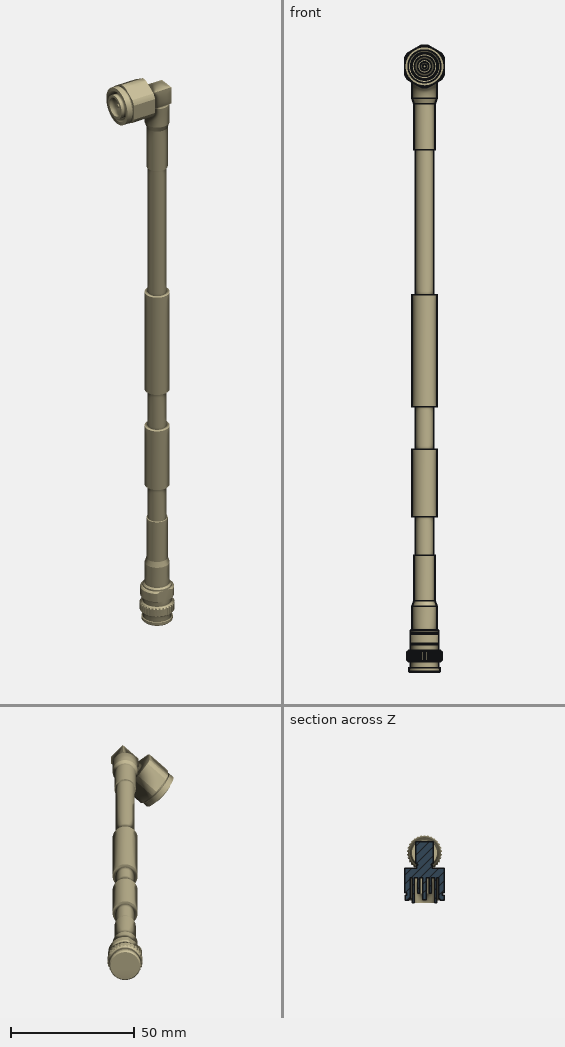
import cadquery as cq
import math

CABLE_RADIUS = 3.8
BOOT_RADIUS = 4.3
BOOT_LENGTH = 18.5
CABLE_BOTTOM = 29.0
CABLE_TOP = 230.7

SLEEVE_RADIUS = 5
SLEEVE_SPANS = [(63.1, 90.6), (107.7, 153.3)]

FERRULE_RADIUS = 5
FERRULE_TAPER = 2.3

END_RIM_RADIUS = 6.4
END_RIM_TOP = 1.8
END_RIM_CHAMFER = 0.5
NECK_RADIUS = 5.9
NECK_TOP = 17.3
NECK_CHAMFER = 0.5
KNURL_RADIUS = 7.1
KNURL_BOTTOM = 4.3
KNURL_TOP = 9.0
KNURL_CHAMFER = 0.8
KNURL_GROOVES = 30
KNURL_GROOVE_WIDTH = 0.8
FLANGE_RADIUS = 7.0
FLANGE_BOTTOM = 11.2
FLANGE_TOP = 16.0
FLANGE_CHAMFER = 0.5

TOTAL_HEIGHT = 254.5
BLOCK_BOTTOM = 241.5
BLOCK_TOP = 249.3
BLOCK_WIDTH = 7.1
BLOCK_BACK = 4.5
BLOCK_FRONT = -4.8
BLOCK_CHAMFER = 0.8
STEM_RADIUS = 3.3

NUT_FLATS = 16.0
NUT_CORNER_RADIUS = 8.7
NUT_AXIS_HEIGHT = TOTAL_HEIGHT - NUT_CORNER_RADIUS
NUT_BACK = -6.0
HEX_FRONT = -16.3
COLLAR_FRONT = -19.3
COLLAR_GROOVE_RADIUS = 7.5
COLLAR_GROOVE_WIDTH = 0.8
SOCKET_RADIUS = 5.5
SOCKET_CHAMFER = 1.0
SOCKET_BACK = -10.2
SHELL_FRONT = -20.4
SHELL_RADIUS = 5
SHELL_BORE_RADIUS = 4.0
INSULATOR_RADIUS = 2.8
INSULATOR_BORE_RADIUS = 1.8
INSULATOR_FRONT = -16.5
PIN_RADIUS = 0.8
PIN_FRONT = -19.0


def cylinder_between(radius, bottom, top):
    """Round bar on the Z axis."""
    return cq.Workplane("XY").workplane(offset=bottom).circle(radius).extrude(top - bottom)


def nut_plane(y):
    """Plane across the nut axis at the given Y, with its normal along -Y."""
    return cq.Workplane("XZ", origin=(0, y, NUT_AXIS_HEIGHT))


def nut_cylinder(radius, back, front):
    """Round bar on the nut axis, from back to front along -Y."""
    return nut_plane(back).circle(radius).extrude(back - front)


def make_cable():
    core = cylinder_between(CABLE_RADIUS, CABLE_BOTTOM, CABLE_TOP)
    lower_boot = cylinder_between(BOOT_RADIUS, CABLE_BOTTOM, CABLE_BOTTOM + BOOT_LENGTH)
    upper_boot = cylinder_between(BOOT_RADIUS, CABLE_TOP - BOOT_LENGTH, CABLE_TOP)
    return core.union(lower_boot).union(upper_boot)


def make_sleeve(bottom, top):
    bore = cylinder_between(CABLE_RADIUS, bottom, top)
    return cylinder_between(SLEEVE_RADIUS, bottom, top).cut(bore)


def make_knurl():
    ring = cylinder_between(KNURL_RADIUS, KNURL_BOTTOM, KNURL_TOP).edges().chamfer(KNURL_CHAMFER)
    grooves = (
        cq.Workplane("XY").workplane(offset=KNURL_BOTTOM)
        .polarArray(KNURL_RADIUS, 0, 360, KNURL_GROOVES)
        .rect(KNURL_GROOVE_WIDTH, KNURL_GROOVE_WIDTH)
        .extrude(KNURL_TOP - KNURL_BOTTOM)
    )
    return ring.cut(grooves)


def make_flange():
    """Round flange with two wrench flats on the X sides, level with the neck."""
    disc = cylinder_between(FLANGE_RADIUS, FLANGE_BOTTOM, FLANGE_TOP).edges().chamfer(FLANGE_CHAMFER)
    between_flats = (
        cq.Workplane("XY").workplane(offset=FLANGE_BOTTOM)
        .rect(2 * NECK_RADIUS, 2 * FLANGE_RADIUS)
        .extrude(FLANGE_TOP - FLANGE_BOTTOM)
    )
    return disc.intersect(between_flats)


def make_straight_connector():
    end_rim = cylinder_between(END_RIM_RADIUS, 0, END_RIM_TOP).faces("<Z").edges().chamfer(END_RIM_CHAMFER)
    neck = cylinder_between(NECK_RADIUS, 0, NECK_TOP).edges().chamfer(NECK_CHAMFER)
    ferrule = (
        cylinder_between(FERRULE_RADIUS, 0, CABLE_BOTTOM)
        .faces(">Z").edges().chamfer(FERRULE_TAPER, FERRULE_RADIUS - BOOT_RADIUS)
    )
    return ferrule.union(neck).union(end_rim).union(make_knurl()).union(make_flange())


def make_nut():
    corner_diameter = NUT_FLATS / math.cos(math.radians(30))
    hexagon = (
        nut_plane(NUT_BACK).transformed(rotate=(0, 0, 30))
        .polygon(6, corner_diameter).extrude(NUT_BACK - HEX_FRONT)
        .intersect(nut_cylinder(NUT_CORNER_RADIUS, NUT_BACK, HEX_FRONT))
    )
    groove_front = HEX_FRONT - COLLAR_GROOVE_WIDTH
    groove = nut_cylinder(COLLAR_GROOVE_RADIUS, HEX_FRONT, groove_front)
    collar = nut_cylinder(NUT_FLATS / 2, groove_front, COLLAR_FRONT)
    socket = nut_cylinder(SOCKET_RADIUS, SOCKET_BACK, COLLAR_FRONT)
    nut = hexagon.union(groove).union(collar).cut(socket)
    mouth_edge = nut.faces("<Y").edges(cq.selectors.RadiusNthSelector(0))
    return mouth_edge.chamfer(SOCKET_CHAMFER)


def make_nut_tube(outer_radius, bore_radius, front):
    """Tube standing on the floor of the nut socket."""
    bore = nut_cylinder(bore_radius, SOCKET_BACK, front)
    return nut_cylinder(outer_radius, SOCKET_BACK, front).cut(bore)


def make_contacts():
    """Outer shell, insulator tube and centre pin standing in the nut socket."""
    shell = make_nut_tube(SHELL_RADIUS, SHELL_BORE_RADIUS, SHELL_FRONT)
    insulator = make_nut_tube(INSULATOR_RADIUS, INSULATOR_BORE_RADIUS, INSULATOR_FRONT)
    pin = nut_cylinder(PIN_RADIUS, SOCKET_BACK, PIN_FRONT)
    return shell.union(insulator).union(pin)


def make_angle_connector():
    ferrule = (
        cylinder_between(FERRULE_RADIUS, CABLE_TOP, BLOCK_BOTTOM)
        .faces("<Z").edges().chamfer(FERRULE_TAPER, FERRULE_RADIUS - BOOT_RADIUS)
    )
    block = (
        cq.Workplane("XY").workplane(offset=BLOCK_BOTTOM)
        .center(0, (BLOCK_BACK + BLOCK_FRONT) / 2)
        .rect(BLOCK_WIDTH, BLOCK_BACK - BLOCK_FRONT)
        .extrude(BLOCK_TOP - BLOCK_BOTTOM)
        .faces("<Y").edges().chamfer(BLOCK_CHAMFER)
    )
    stem = nut_cylinder(STEM_RADIUS, BLOCK_FRONT, NUT_BACK)
    nut = make_nut()
    contacts = make_contacts()
    return ferrule.union(block).union(stem).union(nut).union(contacts)


cable = make_cable()
sleeves = [make_sleeve(bottom, top) for bottom, top in SLEEVE_SPANS]
straight_connector = make_straight_connector()
angle_connector = make_angle_connector()

result = cq.Compound.makeCompound(
    [cable.val(), straight_connector.val(), angle_connector.val(), *[sleeve.val() for sleeve in sleeves]]
)